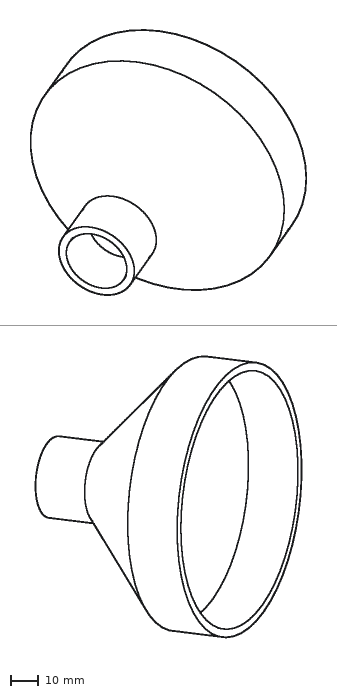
import cadquery as cq

rim_diameter = 100.7
rim_bore = 94.7
spout_diameter = 30.0
spout_bore = 24.0
total_length = 75.5
spout_length = 20.0

cone_length = (rim_diameter - spout_diameter) / 2
cone_end = spout_length + cone_length


def stepped_cone(spout_radius, rim_radius):
    """Solid with a spout cylinder, a cone and a rim cylinder along +Y."""
    return (
        cq.Workplane("XY")
        .moveTo(0, 0)
        .lineTo(spout_radius, 0)
        .lineTo(spout_radius, spout_length)
        .lineTo(rim_radius, cone_end)
        .lineTo(rim_radius, total_length)
        .lineTo(0, total_length)
        .close()
        .revolve(360, (0, 0, 0), (0, 1, 0))
    )


outer_body = stepped_cone(spout_diameter / 2, rim_diameter / 2)
inner_cavity = stepped_cone(spout_bore / 2, rim_bore / 2)

result = outer_body.cut(inner_cavity)